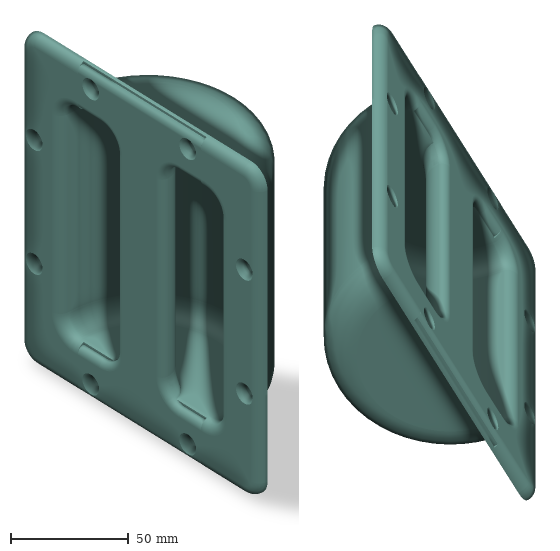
import cadquery as cq


flange_width = 148.0
flange_height = 173.0
flange_corner_radius = 10.0
wall = 5.0
dish_radius = 54.0
dish_height = 132.0
dish_end_radius = 14.0

cavity_radius = dish_radius - wall
cavity_height = dish_height - 2 * wall
cavity_end_radius = dish_end_radius - wall

handle_width = 76.0
frame_margin = 1.5
bar_width = 28.0
grip_radius = 10.0
end_trim = 0.5

handle_thickness = wall - frame_margin
handle_height = flange_height - 2 * frame_margin
grip_back = -frame_margin + grip_radius

opening_height = dish_height - 2 * handle_thickness
opening_width = dish_radius - handle_thickness - bar_width / 2
opening_corner_radius = dish_end_radius - handle_thickness
opening_centre = (bar_width + opening_width) / 2

screw_diameter = 4.5
countersink_diameter = 10.4
countersink_angle = 90
side_screw_x = 64.9
side_screw_z = 32.5
handle_screw_x = 30.0
handle_screw_z = 77.5

side_screws = [(x, z) for x in (-side_screw_x, side_screw_x) for z in (-side_screw_z, side_screw_z)]
handle_screws = [(x, z) for x in (-handle_screw_x, handle_screw_x) for z in (-handle_screw_z, handle_screw_z)]


def block(width, height, front_y, back_y):
    """Box centred on X = Z = 0 that runs from front_y back to back_y."""
    depth = back_y - front_y
    return cq.Workplane("XY").box(width, depth, height).translate((0, front_y + depth / 2, 0))


def rounded_block(width, height, corner_radius, front_y, back_y):
    """Block whose four edges along Y are rounded."""
    return block(width, height, front_y, back_y).edges("|Y").fillet(corner_radius)


def half_drum(radius, height, end_radius):
    """Half cylinder about Z on the +Y side, with rounded ends."""
    profile = (
        cq.Workplane("XZ")
        .moveTo(0, -height / 2)
        .lineTo(radius - end_radius, -height / 2)
        .radiusArc((radius, -height / 2 + end_radius), -end_radius)
        .lineTo(radius, height / 2 - end_radius)
        .radiusArc((radius - end_radius, height / 2), -end_radius)
        .lineTo(0, height / 2)
        .close()
    )
    half_turn = 180
    return profile.revolve(half_turn, (0, 0, 0), (0, 1, 0))


def countersunk_holes(body, positions):
    """Drill countersunk screw holes from the front face at the (x, z) positions."""
    return (
        body.copyWorkplane(cq.Workplane("XZ", origin=(0, -wall, 0)))
        .pushPoints(positions)
        .cskHole(screw_diameter, countersink_diameter, countersink_angle, depth=wall)
    )


def make_frame():
    flange = rounded_block(flange_width, flange_height, flange_corner_radius, -wall, wall)
    opening = rounded_block(2 * cavity_radius, cavity_height, cavity_end_radius, -wall, wall)
    flange = flange.cut(opening).faces("<Y").edges().fillet(wall)
    flange = flange.intersect(block(flange_width, flange_height, -wall, 0))

    dish = half_drum(dish_radius, dish_height, dish_end_radius)
    dish = dish.cut(half_drum(cavity_radius, cavity_height, cavity_end_radius))

    channel = block(handle_width, flange_height, -wall, -frame_margin)
    return flange.union(dish).cut(channel)


def block_with_openings(height, back_y):
    """Block as wide as the flange with both handle openings cut through it."""
    body = block(flange_width, height, -wall, back_y)
    opening = rounded_block(opening_width, opening_height, opening_corner_radius, -wall, back_y)
    for side in (-1, 1):
        body = body.cut(opening.translate((side * opening_centre, 0, 0)))
    return body


def opening_edges(y):
    """Selector for the edges of the openings in the plane at y."""
    reach = wall / 2
    return cq.selectors.BoxSelector(
        (-dish_radius, y - reach, -dish_height / 2),
        (dish_radius, y + reach, dish_height / 2),
    )


def make_handle_plate():
    plate = block_with_openings(handle_height + 2 * end_trim, wall)
    plate = plate.edges(opening_edges(-wall)).fillet(handle_thickness)
    plate = plate.faces("<Y").edges("<Z or >Z").fillet(handle_thickness)
    return plate.intersect(block(handle_width, handle_height, -wall, -frame_margin))


def make_grip():
    grip = block_with_openings(flange_height, grip_back)
    grip = grip.edges(opening_edges(grip_back)).fillet(grip_radius)
    return grip.intersect(block(2 * opening_centre, cavity_height, -frame_margin, grip_back))


frame = countersunk_holes(make_frame(), side_screws + handle_screws)
handle = countersunk_holes(make_handle_plate().union(make_grip()), handle_screws)

result = cq.Compound.makeCompound([frame.solids().val(), handle.solids().val()])